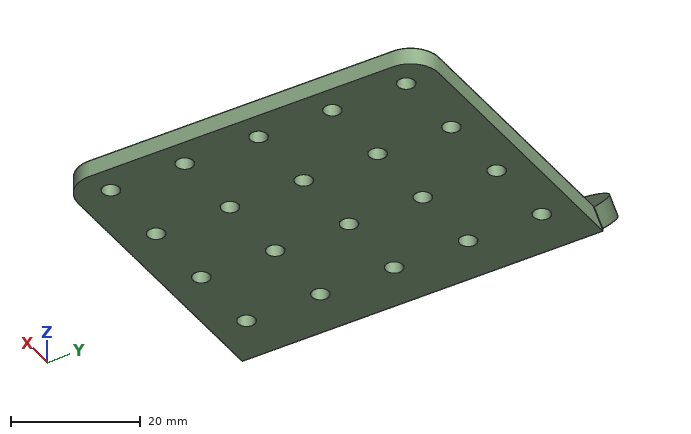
import cadquery as cq
import math

plate_width = 65.14
plate_thickness = 3.0
plate_length = 50.93
corner_radius = 5.1

tab_radius = 32.5
tab_thickness = 3.62
tab_offset_y = tab_radius - plate_width / 2
tab_angle = 45.0

hole_diameter = 3.0
hole_pitch = 40.0 / 3
hole_columns = 4
hole_rows = 5
hole_end_margin = 4.8
hole_side_margin = 6.1

root_overhang = tab_thickness * math.sin(math.radians(tab_angle))
root_drop = tab_thickness * math.cos(math.radians(tab_angle))


def make_plate():
    """Flat plate whose near end meets the root face of the tab."""
    profile = [
        (0, plate_thickness),
        (plate_length, plate_thickness),
        (plate_length, 0),
        (-root_overhang, 0),
        (-root_overhang, plate_thickness - root_drop),
    ]
    plate = (
        cq.Workplane("XZ")
        .polyline(profile)
        .close()
        .extrude(plate_width / 2, both=True)
    )
    return plate.edges("|Z and >X").fillet(corner_radius)


def make_tab():
    """Half disc hinged up about the bend line, its upper face starting on that line."""
    flat_tab = (
        cq.Workplane("XY", origin=(0, tab_offset_y, plate_thickness))
        .moveTo(0, tab_radius)
        .threePointArc((-tab_radius, 0), (0, -tab_radius))
        .close()
        .extrude(-tab_thickness)
    )
    hinge_start = (0, 0, plate_thickness)
    hinge_end = (0, 1, plate_thickness)
    return flat_tab.rotate(hinge_start, hinge_end, tab_angle)


def drill_holes(body):
    """Rectangular grid of through holes."""
    last_column_x = plate_length - hole_end_margin
    first_row_y = hole_side_margin - plate_width / 2
    centres = [
        (last_column_x - column * hole_pitch, first_row_y + row * hole_pitch)
        for column in range(hole_columns)
        for row in range(hole_rows)
    ]
    drills = (
        cq.Workplane("XY")
        .pushPoints(centres)
        .circle(hole_diameter / 2)
        .extrude(plate_thickness)
    )
    return body.cut(drills)


result = drill_holes(make_plate().union(make_tab()))